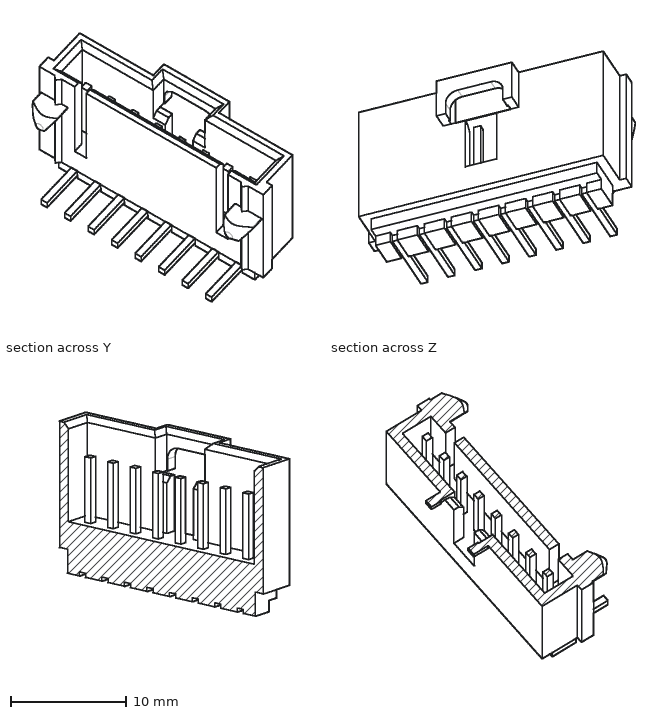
import cadquery as cq
import math


HOUSING_WIDTH = 22.92
HOUSING_DEPTH = 5.1
HOUSING_HEIGHT = 11.41
FLOOR_Z = 2.53
WALL = 1.04
RIM_CHAMFER = 0.5

OVERALL_WIDTH = 24.13
EAR_DEPTH = 1.3

RIB_X = 10.05
RIB_HEIGHT = 0.39

SLOT_X = 7.63
SLOT_WIDTH = 1.25

HOOD_WIDTH = 7.07
HOOD_SIDE_WALL = 0.75
HOOD_PROJECTION = 1.55
HOOD_BOTTOM_Z = 7.6
HOOD_WINDOW_WIDTH = 5.35
HOOD_WINDOW_TOP_Z = 9.85
HOOD_WINDOW_RADIUS = 1.13
KEYWAY_WIDTH = 2.97

BASE_WIDTH = 21.15
BASE_FRONT_Y = 0.8
BASE_STEP_Y = 3.35
BASE_BACK_Y = 4.37
BASE_STEP_Z = -1.15
BASE_BOTTOM_Z = -2.17

PIN_COUNT = 8
PIN_PITCH = 2.53
PIN_SIZE = 0.65
PIN_ROW_Y = 2.55
PIN_TAIL_Y = -3.65
PIN_TOP_Z = 8.45
PIN_POSITIONS = [(i - (PIN_COUNT - 1) / 2) * PIN_PITCH for i in range(PIN_COUNT)]

PEG_X = 10.45
PEG_TOP_Z = 8.0
PEG_SIDE = 3.02
PEG_CORNER_RADIUS = 0.085
NOSE_X = 10.2
NOSE_Z = 6.97
NOSE_TIP_Y = -2.65
NOSE_BALL_RADIUS = 0.6
NOSE_HALF_ANGLE = math.radians(50)

OVERLAP = 0.25


def box(x_range, y_range, z_range):
    """Axis-aligned block from its lower and upper limits."""
    (x0, x1), (y0, y1), (z0, z1) = x_range, y_range, z_range
    return cq.Workplane("XY").box(x1 - x0, y1 - y0, z1 - z0, centered=False).translate((x0, y0, z0))


def centred(width, middle=0.0):
    """Lower and upper limits of a span about a middle value."""
    return (middle - width / 2, middle + width / 2)


def opening(width, y_range, bottom_z, top_z):
    """Straight-sided cut that flares by the rim chamfer at its top end."""
    y0, y1 = y_range
    straight = box(centred(width), y_range, (bottom_z, top_z))
    flare = (
        cq.Workplane("XY", origin=(0, (y0 + y1) / 2, top_z))
        .rect(width + 2 * RIM_CHAMFER, y1 - y0 + 2 * RIM_CHAMFER)
        .workplane(offset=-RIM_CHAMFER)
        .rect(width, y1 - y0)
        .loft(ruled=True)
    )
    return straight.union(flare)


def make_housing():
    """Open-topped shell with its ears and the hood block behind it."""
    full_height = (0, HOUSING_HEIGHT)
    shell = box(centred(HOUSING_WIDTH), (0, HOUSING_DEPTH), full_height)
    ears = box(centred(OVERALL_WIDTH), (0, EAR_DEPTH), full_height)
    hood = box(
        centred(HOOD_WIDTH),
        (HOUSING_DEPTH - WALL, HOUSING_DEPTH + HOOD_PROJECTION),
        (HOOD_BOTTOM_Z, HOUSING_HEIGHT),
    )
    cavity_y = (WALL, HOUSING_DEPTH - WALL)
    cavity = opening(HOUSING_WIDTH - 2 * WALL, cavity_y, FLOOR_Z, HOUSING_HEIGHT)
    return shell.union(ears).union(hood).cut(cavity)


def cut_hood(body):
    """Hollow the hood, bevel the ledge below it and open the wall behind and below."""
    inner_width = HOOD_WIDTH - 2 * HOOD_SIDE_WALL
    cavity_back_y = HOUSING_DEPTH - WALL
    hood_back_y = HOUSING_DEPTH + HOOD_PROJECTION
    hood_y = (WALL, hood_back_y - WALL)
    hollow = opening(inner_width, hood_y, HOOD_BOTTOM_Z, HOUSING_HEIGHT)
    hollow = hollow.intersect(
        box(centred(HOOD_WIDTH), (cavity_back_y, hood_back_y), (HOOD_BOTTOM_Z, HOUSING_HEIGHT))
    )
    ledge_bevel = (
        cq.Workplane("YZ")
        .moveTo(cavity_back_y, HOOD_BOTTOM_Z)
        .lineTo(cavity_back_y + RIM_CHAMFER, HOOD_BOTTOM_Z)
        .lineTo(cavity_back_y, HOOD_BOTTOM_Z - RIM_CHAMFER)
        .close()
        .extrude(inner_width / 2, both=True)
    )
    keyway = box(centred(KEYWAY_WIDTH), (cavity_back_y, HOUSING_DEPTH), (FLOOR_Z, HOOD_BOTTOM_Z))
    window = (
        box(
            centred(HOOD_WINDOW_WIDTH),
            (hood_back_y - WALL, hood_back_y),
            (HOOD_BOTTOM_Z, HOOD_WINDOW_TOP_Z),
        )
        .edges("|Y and >Z")
        .fillet(HOOD_WINDOW_RADIUS)
    )
    return body.cut(hollow).cut(ledge_bevel).cut(keyway).cut(window)


def cut_front_slots(body):
    """Open two slots through the front wall from the rim down to the floor."""
    for side in (-1, 1):
        slot_x = centred(SLOT_WIDTH, side * SLOT_X)
        body = body.cut(box(slot_x, (0, WALL), (FLOOR_Z, HOUSING_HEIGHT)))
    return body


def make_rib(side):
    """Full-height V-shaped rib on the front face."""
    return (
        cq.Workplane("XY")
        .polyline([
            (side * RIB_X - RIB_HEIGHT, 0),
            (side * RIB_X, -RIB_HEIGHT),
            (side * RIB_X + RIB_HEIGHT, 0),
            (side * RIB_X, OVERLAP),
        ])
        .close()
        .extrude(HOUSING_HEIGHT)
    )


def make_base():
    """Stepped block with a channel across its underside for every pin."""
    base = (
        cq.Workplane("YZ")
        .polyline([
            (BASE_FRONT_Y, 0),
            (BASE_FRONT_Y, BASE_BOTTOM_Z),
            (BASE_STEP_Y, BASE_BOTTOM_Z),
            (BASE_STEP_Y, BASE_STEP_Z),
            (BASE_BACK_Y, BASE_STEP_Z),
            (BASE_BACK_Y, 0),
        ])
        .close()
        .extrude(BASE_WIDTH / 2, both=True)
    )
    for x in PIN_POSITIONS:
        channel_y = (BASE_FRONT_Y, BASE_STEP_Y)
        base = base.cut(box(centred(PIN_SIZE, x), channel_y, (BASE_BOTTOM_Z, BASE_STEP_Z)))
    return base


def make_pin(x):
    """Square right-angle pin: an upright post and a tail reaching forward."""
    post_y = centred(PIN_SIZE, PIN_ROW_Y)
    tail_bottom_z = BASE_STEP_Z - PIN_SIZE
    post = box(centred(PIN_SIZE, x), post_y, (tail_bottom_z, PIN_TOP_Z))
    tail = box(centred(PIN_SIZE, x), (PIN_TAIL_Y, post_y[1]), (tail_bottom_z, BASE_STEP_Z))
    return post.union(tail)


def make_peg(side):
    """Downward-pointing triangular prism trimmed by a cone with a ball end."""
    x = side * PEG_X
    prism = (
        cq.Workplane("XZ", origin=(0, OVERLAP, 0))
        .polyline([
            (x - PEG_SIDE / 2, PEG_TOP_Z),
            (x + PEG_SIDE / 2, PEG_TOP_Z),
            (x, PEG_TOP_Z - PEG_SIDE * math.sqrt(3) / 2),
        ])
        .close()
        .extrude(OVERLAP - NOSE_TIP_Y)
        .edges("|Y")
        .fillet(PEG_CORNER_RADIUS)
    )
    ball_y = NOSE_TIP_Y + NOSE_BALL_RADIUS
    tangent_radius = NOSE_BALL_RADIUS * math.cos(NOSE_HALF_ANGLE)
    tangent_y = ball_y - NOSE_BALL_RADIUS * math.sin(NOSE_HALF_ANGLE)
    mid_angle = (NOSE_HALF_ANGLE + math.pi / 2) / 2
    arc_middle = (
        NOSE_BALL_RADIUS * math.cos(mid_angle),
        ball_y - NOSE_BALL_RADIUS * math.sin(mid_angle),
    )
    cone_radius = tangent_radius + (OVERLAP - tangent_y) * math.tan(NOSE_HALF_ANGLE)
    nose = (
        cq.Workplane("XY")
        .moveTo(0, NOSE_TIP_Y)
        .threePointArc(arc_middle, (tangent_radius, tangent_y))
        .lineTo(cone_radius, OVERLAP)
        .lineTo(0, OVERLAP)
        .close()
        .revolve(360, (0, 0, 0), (0, 1, 0))
        .translate((side * NOSE_X, 0, NOSE_Z))
    )
    return prism.intersect(nose)


result = cut_front_slots(cut_hood(make_housing())).union(make_base())
for x in PIN_POSITIONS:
    result = result.union(make_pin(x))
for side in (-1, 1):
    result = result.union(make_rib(side)).union(make_peg(side))